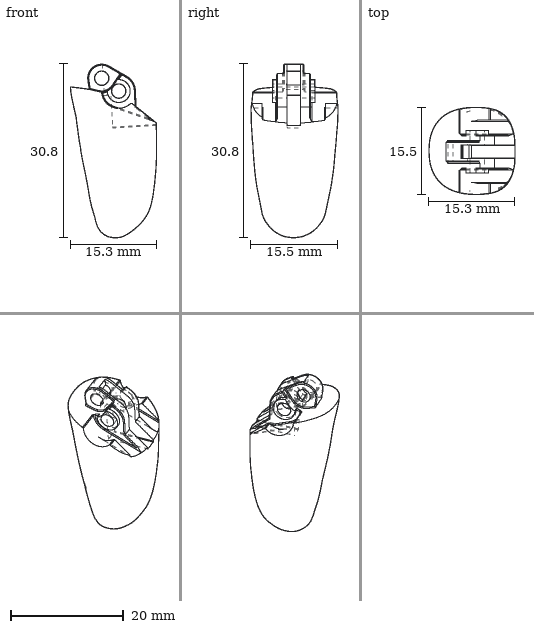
import cadquery as cq
import math

BODY_SECTIONS = [
    (0, -0.2, 0.62, 0.37),
    (0.15, -1.02, 1.45, 1.48),
    (0.62, -1.85, 2.4, 2.62),
    (1.55, -2.7, 3.7, 3.9),
    (3.08, -3.3, 5.25, 5.15),
    (5.55, -3.97, 6.53, 5.9),
    (9.25, -4.68, 7.2, 6.62),
    (13.85, -5.6, 7.58, 7.18),
    (18.5, -6.35, 7.58, 7.55),
    (23.1, -7.12, 7.55, 7.73),
    (27.1, -7.7, 7.45, 7.65),
]
LEFT_TIP_SQUARENESS = 1.8
RIGHT_TIP_SQUARENESS = 2.4
LEFT_TOP_SQUARENESS = 2.3
RIGHT_TOP_SQUARENESS = 3
TIP_Y = -0.22
POINTS_PER_SECTION = 32
REACH = 18.5

HINGE_Y = -0.2
PIN_DIAMETER = 2.5
EDGE_CHAMFER = 0.2
RIM_CHAMFER = 0.15
TOLERANCE = 0.001

KNUCKLE_CENTER = (-2.15, 28.3)
KNUCKLE_RADIUS = 2.5
KNUCKLE_HALF_WIDTH = 1.85
KNUCKLE_LEAN = 9

HUB_CENTER = (0.85, 26.03)
HUB_RADIUS = 2.95
HUB_HALF_WIDTH = 3.02
HUB_LEAN = 2.5
FLANK_LENGTH = 3.7
BOSS_RADIUS = 2.03
BOSS_HALF_WIDTH = 3.75

KNUCKLE_CLEARANCE = 2.43
STOP_ANGLE = -34
SEAT_ANGLE = 257
CHANNEL_RADIUS = 3.05
RECESS_ANGLE = 251
RECESS_HALF_WIDTH = 5.6
RECESS_END = (7.25, 20.65)

DECK_PEAK = (-8, 26.85)
SEAT_LENGTH = 2.2
RIDGE = (3.08, 23.95)
RIDGE_SLOPE = -0.8

SLOT_HALF_WIDTH = 1.2
SLOT_START = (-1.7, 25.25)
SLOT_STEP_X = -0.55
SLOT_FLOOR = 19.4
SLOT_TILT = 3.5
SLOT_FLOOR_CHAMFER = 0.12


def polar(center, radius, degrees):
    """Point of the XZ plane at an angle on a circle."""
    angle = math.radians(degrees)
    return (center[0] + radius * math.cos(angle), center[1] + radius * math.sin(angle))


def hinge_plane(offset=0):
    """XZ sketch plane shifted along +Y from the hinge plane; negative extrusions run toward +Y."""
    plane = cq.Plane(origin=(0, HINGE_Y + offset, 0), xDir=(1, 0, 0), normal=(0, -1, 0))
    return cq.Workplane(plane)


def disc(center, radius, half_width):
    return hinge_plane().center(*center).circle(radius).extrude(half_width, both=True)


def on_both_sides(solid):
    """The solid together with its mirror image across the hinge plane."""
    return solid.union(solid.mirror("XZ", (0, HINGE_Y, 0)))


def section_point(height, left, right, half_width, angle):
    """Point of a section that gets squarer with height, most of all on its right half."""
    cosine = math.cos(angle)
    sine = math.sin(angle)
    if cosine > 0:
        tip, top = RIGHT_TIP_SQUARENESS, RIGHT_TOP_SQUARENESS
    else:
        tip, top = LEFT_TIP_SQUARENESS, LEFT_TOP_SQUARENESS
    rise = height / BODY_SECTIONS[-1][0]
    power = 2 / (tip + (top - tip) * rise)
    x = (left + right) / 2 + (right - left) / 2 * math.copysign(abs(cosine) ** power, cosine)
    y = TIP_Y * (1 - rise) + half_width * math.copysign(abs(sine) ** power, sine)
    return (x, y)


def section_wire(height, left, right, half_width):
    step = 2 * math.pi / POINTS_PER_SECTION
    points = [
        cq.Vector(*section_point(height, left, right, half_width, i * step), height)
        for i in range(POINTS_PER_SECTION)
    ]
    return cq.Wire.assembleEdges([cq.Edge.makeSpline(points, periodic=True)])


def make_body():
    body = cq.Workplane(cq.Solid.makeLoft([section_wire(*s) for s in BODY_SECTIONS]))
    seat_start = polar(KNUCKLE_CENTER, KNUCKLE_CLEARANCE, SEAT_ANGLE)
    deck_break = polar(seat_start, SEAT_LENGTH, SEAT_ANGLE - 90)
    ridge_top = (RIDGE[0] + (seat_start[1] - RIDGE[1]) / RIDGE_SLOPE, seat_start[1])
    ridge_end = (REACH, RIDGE[1] + RIDGE_SLOPE * (REACH - RIDGE[0]))
    above_deck = (
        hinge_plane()
        .polyline([DECK_PEAK, deck_break, seat_start, ridge_top, ridge_end])
        .lineTo(REACH, 2 * REACH)
        .lineTo(-REACH, 2 * REACH)
        .lineTo(-REACH, DECK_PEAK[1])
        .close()
        .extrude(REACH, both=True)
    )
    return body.cut(above_deck)


def link_outline():
    """Outline around knuckle and hub: two arcs, their common tangent and two flanks."""
    dx = HUB_CENTER[0] - KNUCKLE_CENTER[0]
    dz = HUB_CENTER[1] - KNUCKLE_CENTER[1]
    growth = (HUB_RADIUS - KNUCKLE_RADIUS) / math.hypot(dx, dz)
    tangent = math.degrees(math.atan2(dz, dx) + math.pi / 2 + math.asin(growth))
    left = 180 + KNUCKLE_LEAN
    left_flank = polar(KNUCKLE_CENTER, KNUCKLE_RADIUS, left)
    right_flank = polar(HUB_CENTER, HUB_RADIUS, HUB_LEAN)
    return (
        hinge_plane()
        .moveTo(*polar(left_flank, FLANK_LENGTH, left + 90))
        .lineTo(*left_flank)
        .threePointArc(
            polar(KNUCKLE_CENTER, KNUCKLE_RADIUS, (left + tangent) / 2),
            polar(KNUCKLE_CENTER, KNUCKLE_RADIUS, tangent),
        )
        .lineTo(*polar(HUB_CENTER, HUB_RADIUS, tangent))
        .threePointArc(polar(HUB_CENTER, HUB_RADIUS, (tangent + HUB_LEAN) / 2), right_flank)
        .lineTo(*polar(right_flank, FLANK_LENGTH, HUB_LEAN - 90))
        .close()
    )


def link_prism(half_width):
    return link_outline().extrude(half_width, both=True)


def clearance_prism(radius, inner, outer):
    """Room around the knuckle between two distances on the +Y side of the hinge plane."""
    stop = polar(KNUCKLE_CENTER, radius, STOP_ANGLE)
    seat = polar(KNUCKLE_CENTER, radius, SEAT_ANGLE)
    middle = polar(KNUCKLE_CENTER, radius, (STOP_ANGLE + SEAT_ANGLE - 360) / 2)
    return (
        hinge_plane(inner)
        .moveTo(*polar(seat, REACH, SEAT_ANGLE - 90))
        .lineTo(*seat)
        .threePointArc(middle, stop)
        .lineTo(*polar(stop, REACH, STOP_ANGLE + 90))
        .close()
        .extrude(inner - outer)
    )


def knuckle_clearance():
    """Room beside the knuckle for the mating fork, with a chamfered inner corner.

    A thinner layer underneath makes room for the chamfer on the knuckle's own edge.
    """
    room = clearance_prism(KNUCKLE_CLEARANCE, KNUCKLE_HALF_WIDTH, REACH)
    room = room.faces("<Y").edges().chamfer(EDGE_CHAMFER)
    layer = clearance_prism(
        KNUCKLE_CLEARANCE - EDGE_CHAMFER,
        KNUCKLE_HALF_WIDTH - EDGE_CHAMFER,
        KNUCKLE_HALF_WIDTH,
    )
    return on_both_sides(room.union(layer))


def make_knuckle():
    return link_prism(KNUCKLE_HALF_WIDTH).faces("<Y or >Y").edges().chamfer(EDGE_CHAMFER)


def hub_channel():
    """Round channel across the body, concentric with the hub, on both sides of it."""
    channel = hinge_plane(HUB_HALF_WIDTH).center(*HUB_CENTER).circle(CHANNEL_RADIUS).extrude(-REACH)
    return on_both_sides(channel.faces("<Y").edges().chamfer(EDGE_CHAMFER))


def hub_recess():
    """Flat-floored recess running off tangentially from the channel toward +X."""
    start = polar(HUB_CENTER, CHANNEL_RADIUS, RECESS_ANGLE)
    recess = (
        hinge_plane(HUB_HALF_WIDTH)
        .moveTo(*HUB_CENTER)
        .lineTo(*start)
        .lineTo(*polar(start, REACH, RECESS_ANGLE + 90))
        .lineTo(REACH, HUB_CENTER[1])
        .close()
        .extrude(HUB_HALF_WIDTH - RECESS_HALF_WIDTH)
    )
    return on_both_sides(recess.faces("<Y or >Y").edges().chamfer(EDGE_CHAMFER))


def tendon_slot():
    pivot = (SLOT_START[0], 0, SLOT_START[1])
    pivot_axis_end = (SLOT_START[0], -1, SLOT_START[1])
    slot = (
        hinge_plane()
        .moveTo(*SLOT_START)
        .lineTo(SLOT_STEP_X, SLOT_START[1])
        .lineTo(SLOT_STEP_X, SLOT_FLOOR)
        .lineTo(REACH, SLOT_FLOOR)
        .lineTo(REACH, 2 * REACH)
        .lineTo(SLOT_START[0], 2 * REACH)
        .close()
        .extrude(SLOT_HALF_WIDTH, both=True)
    )
    slot = slot.faces("<Z").edges("|X").chamfer(SLOT_FLOOR_CHAMFER)
    return slot.rotate(pivot, pivot_axis_end, SLOT_TILT)


def is_upper_hub_edge(edge):
    """True for edges in a side face of the hub that lie above the channel and recess floors.

    The line from the channel's left rim to the far end of the recess floor separates them.
    """
    middle = edge.positionAt(0.5)
    in_side_face = all(
        abs(abs(edge.positionAt(t).y - HINGE_Y) - HUB_HALF_WIDTH) < TOLERANCE for t in (0, 0.5, 1)
    )
    channel_rim = polar(HUB_CENTER, CHANNEL_RADIUS, 180)
    slope = (RECESS_END[1] - channel_rim[1]) / (RECESS_END[0] - channel_rim[0])
    return in_side_face and middle.z > channel_rim[1] + slope * (middle.x - channel_rim[0])


def is_channel_rim(edge):
    """True for the straight edges where the channel meets the deck."""
    middle = edge.positionAt(0.5)
    distance = math.hypot(middle.x - HUB_CENTER[0], middle.z - HUB_CENTER[1])
    along_y = abs(edge.tangentAt(0).y) > 1 - TOLERANCE
    on_channel = abs(distance - CHANNEL_RADIUS) < TOLERANCE
    return along_y and on_channel


def make_frame():
    """Body and hub, with chamfers on the channel rims and the upper hub edges."""
    body = make_body().cut(knuckle_clearance()).cut(hub_channel())
    rims = [edge for edge in body.edges().vals() if is_channel_rim(edge)]
    body = body.newObject(rims).chamfer(RIM_CHAMFER).cut(hub_recess())
    frame = body.union(link_prism(HUB_HALF_WIDTH).cut(knuckle_clearance()))
    hub_edges = [edge for edge in frame.edges().vals() if is_upper_hub_edge(edge)]
    return frame.newObject(hub_edges).chamfer(EDGE_CHAMFER)


def make_bosses():
    return disc(HUB_CENTER, BOSS_RADIUS, BOSS_HALF_WIDTH).cut(knuckle_clearance())


result = (
    make_frame()
    .union(make_bosses())
    .union(make_knuckle())
    .cut(tendon_slot())
    .cut(disc(KNUCKLE_CENTER, PIN_DIAMETER / 2, REACH))
    .cut(disc(HUB_CENTER, PIN_DIAMETER / 2, BOSS_HALF_WIDTH))
)